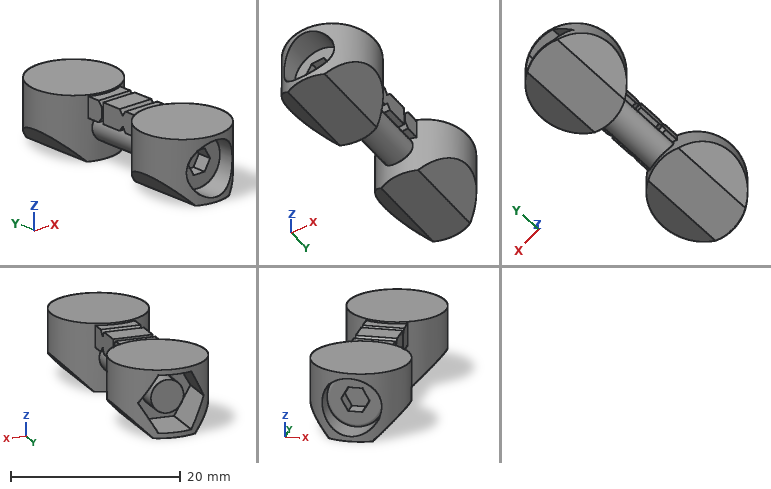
import cadquery as cq
import math


overall_length = 31.37
barrel_diameter = 12.0
barrel_height = 8.5
barrel_radius = barrel_diameter / 2
barrel_offset = overall_length / 2 - barrel_radius
barrel_top = barrel_height / 2
bevel_leg = 3.35

tab_width = 5.02
tab_height = 2.75
tab_top_step = 0.22
tab_reach = 7.8
bevel_length = 0.53
bevel_depth = 0.65
tab_gap = 0.28
tab_top = barrel_top - tab_top_step
tab_bottom = tab_top - tab_height

shank_diameter = 4.15
head_diameter = 7.0
head_rim_radius = 0.4
head_length = 4.0
socket_across_flats = 2.98
socket_depth = 2.0
seat_size = 7.2
head_face_offset = 3.0
tip_offset = 3.15
head_face_y = -barrel_offset - head_face_offset
head_seat_y = head_face_y + head_length
nut_seat_y = barrel_offset
screw_tip_y = barrel_offset + tip_offset

front_tab_end = tab_reach - barrel_offset
rear_tab_end = barrel_offset - tab_reach
spacer_end = rear_tab_end - tab_gap


def rod(diameter, y_start, y_end):
    """Round bar on the screw axis."""
    return cq.Workplane("XZ", origin=(0, y_start, 0)).circle(diameter / 2).extrude(y_start - y_end)


def hexagon_bar(across_flats, y_start, y_end):
    """Six-sided bar on the screw axis, with corners toward +X and -X."""
    across_corners = across_flats / math.cos(math.radians(30))
    return cq.Workplane("XZ", origin=(0, y_start, 0)).polygon(6, across_corners).extrude(y_start - y_end)


def plain_barrel(y_centre):
    """Upright cylinder with its lower sides bevelled along Y."""
    cylinder = (
        cq.Workplane("XY", origin=(0, y_centre, -barrel_top))
        .circle(barrel_radius)
        .extrude(barrel_height)
    )
    envelope = (
        cq.Workplane("XY", origin=(0, y_centre, 0))
        .box(barrel_diameter, barrel_diameter, barrel_height)
        .edges("<Z and |Y")
        .chamfer(bevel_leg)
    )
    return cylinder.intersect(envelope)


def tab_block(y_root, y_end):
    """Block across the screw, from a barrel axis to the tab end."""
    y_middle = (y_root + y_end) / 2
    z_middle = (tab_top + tab_bottom) / 2
    return cq.Workplane("XY", origin=(0, y_middle, z_middle)).box(tab_width, abs(y_end - y_root), tab_height)


def vee_cuts(y_tip):
    """Pair of V-shaped bars that notch a tab from above and below at y_tip."""
    upper = [(y_tip - bevel_length, tab_top), (y_tip, tab_top - bevel_depth), (y_tip + bevel_length, tab_top)]
    lower = [
        (y_tip - bevel_length, tab_bottom),
        (y_tip, tab_bottom + bevel_depth),
        (y_tip + bevel_length, tab_bottom),
    ]
    plane = cq.Workplane("YZ")
    upper_bar = plane.polyline(upper).close().extrude(tab_width / 2, both=True)
    lower_bar = plane.polyline(lower).close().extrude(tab_width / 2, both=True)
    return upper_bar.union(lower_bar)


def make_front_barrel():
    """Barrel with the head bore; its tab carries a spacer that snaps off at the V notches."""
    body = plain_barrel(-barrel_offset).union(tab_block(-barrel_offset, spacer_end))
    body = body.cut(vee_cuts(front_tab_end))
    body = body.cut(rod(seat_size, -overall_length / 2, head_seat_y))
    return body.cut(rod(shank_diameter, head_seat_y, spacer_end))


def make_rear_barrel():
    """Barrel with the nut pocket; its tab has a bevelled end."""
    body = plain_barrel(barrel_offset).union(tab_block(barrel_offset, rear_tab_end))
    body = body.cut(vee_cuts(rear_tab_end))
    body = body.cut(hexagon_bar(seat_size, nut_seat_y, overall_length / 2))
    return body.cut(rod(shank_diameter, rear_tab_end, nut_seat_y))


def make_screw():
    """Cap screw with a rounded head rim and a hexagon socket."""
    head = rod(head_diameter, head_face_y, head_seat_y).faces("<Y").edges().fillet(head_rim_radius)
    head = head.cut(hexagon_bar(socket_across_flats, head_face_y, head_face_y + socket_depth))
    return head.union(rod(shank_diameter, head_seat_y, screw_tip_y))


front_barrel = make_front_barrel()
rear_barrel = make_rear_barrel()
screw = make_screw()

result = cq.Compound.makeCompound([front_barrel.val(), rear_barrel.val(), screw.val()])